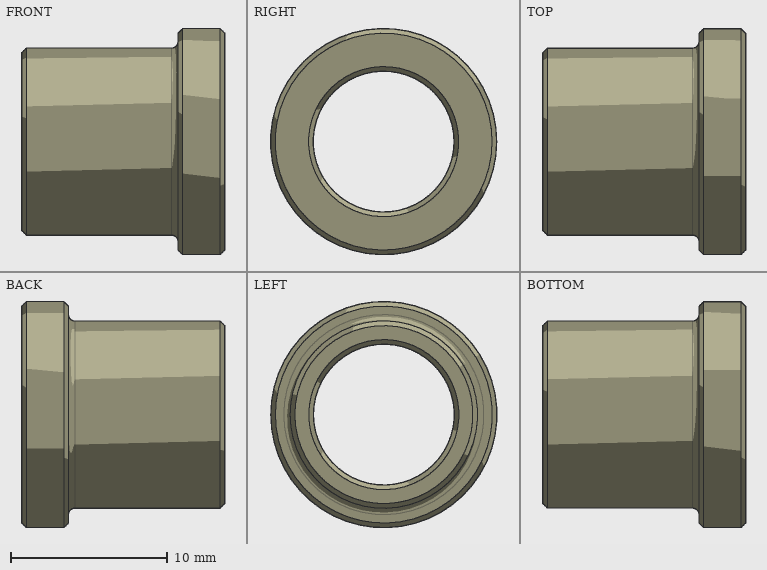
import cadquery as cq

total_length = 13.0
flange_diameter = 14.5
flange_thickness = 3.0
sleeve_diameter = 12.0
bore_diameter = 9.0
edge_chamfer = 0.3
root_fillet = 0.4

sleeve_length = total_length - flange_thickness


def cylinder(diameter, start, length):
    """Cylinder along +X, beginning at x = start."""
    return cq.Workplane("YZ", origin=(start, 0, 0)).circle(diameter / 2).extrude(length)


body = cylinder(sleeve_diameter, 0, total_length).union(
    cylinder(flange_diameter, sleeve_length, flange_thickness)
)
outer_edges = body.edges("%CIRCLE")
body = outer_edges.edges(cq.selectors.RadiusNthSelector(0)).edges(">X").fillet(root_fillet)

body = body.cut(cylinder(bore_diameter, 0, total_length))

body = body.faces("<X or >X").edges().chamfer(edge_chamfer)
flange_rim = cq.selectors.RadiusNthSelector(-1)
result = body.edges("%CIRCLE").edges(flange_rim).edges("<X").chamfer(edge_chamfer)